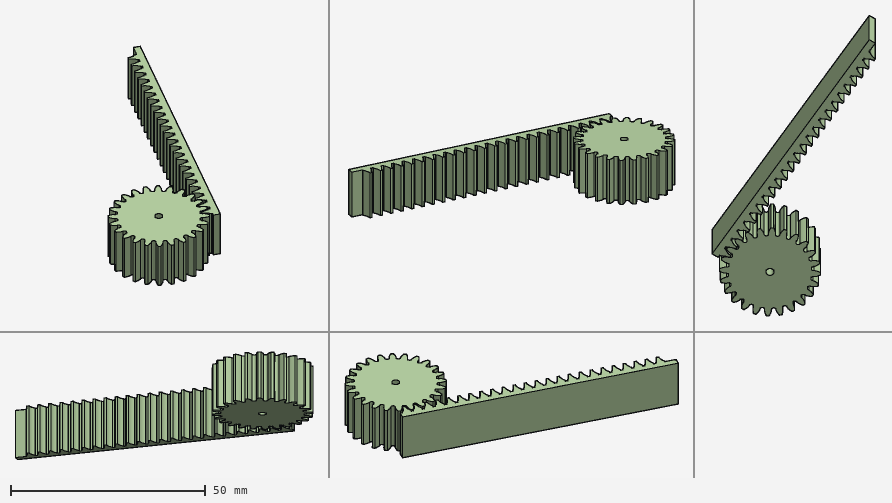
import cadquery as cq
import math

total_length = 84.5
total_depth = 28.5
top_z = 12.8

gear_teeth = 24
gear_outer_diameter = 26.0
gear_height = 12.5
bore_diameter = 2.0
pressure_angle = math.radians(20)
dedendum_factor = 1.35
flank_steps = 4

gear_module = gear_outer_diameter / (gear_teeth + 2)
outer_radius = gear_outer_diameter / 2
pitch_radius = gear_module * gear_teeth / 2
base_radius = pitch_radius * math.cos(pressure_angle)
root_radius = pitch_radius - dedendum_factor * gear_module
gear_x = total_length - outer_radius
gear_y = outer_radius

rack_length = 75.0
rack_height = top_z
back_thickness = 1.9
rack_teeth = 24
tooth_row_length = 68.9
first_tooth_x = 4.2
tooth_height = 2.5
tooth_root_half_width = 1.2
tooth_tip_half_width = 0.3
tooth_step = 0.3

rack_pitch = tooth_row_length / (rack_teeth - 1)
tooth_foot_y = total_depth - back_thickness
tooth_tip_y = tooth_foot_y - tooth_height


def polar(radius, angle):
    return radius * math.cos(angle), radius * math.sin(angle)


def half_tooth_angle(radius):
    """Angle from a gear tooth's centre line to its involute flank at the given radius."""
    local_angle = math.acos(base_radius / radius)
    involute_at_pitch = math.tan(pressure_angle) - pressure_angle
    involute_here = math.tan(local_angle) - local_angle
    return math.pi / (2 * gear_teeth) + involute_at_pitch - involute_here


def make_gear():
    """Spur gear with involute flanks, round-bottomed tooth spaces and a through bore."""
    step = 2 * math.pi / gear_teeth
    radii = [
        base_radius + (outer_radius - base_radius) * i / flank_steps
        for i in range(flank_steps + 1)
    ]
    outline = cq.Workplane("XY").moveTo(*polar(base_radius, -half_tooth_angle(base_radius)))
    for tooth in range(gear_teeth):
        centre = tooth * step
        rising = [polar(r, centre - half_tooth_angle(r)) for r in radii]
        falling = [polar(r, centre + half_tooth_angle(r)) for r in reversed(radii)]
        outline = (
            outline.spline(rising[1:], includeCurrent=True)
            .threePointArc(polar(outer_radius, centre), falling[0])
            .spline(falling[1:], includeCurrent=True)
            .threePointArc(
                polar(root_radius, centre + step / 2),
                polar(base_radius, centre + step - half_tooth_angle(base_radius)),
            )
        )
    blank = outline.close().extrude(gear_height)
    bore = cq.Workplane("XY").circle(bore_diameter / 2).extrude(gear_height)
    return blank.cut(bore).translate((gear_x, gear_y, top_z - gear_height))


def make_rack():
    """Straight bar with a row of teeth whose hollow flanks run out parallel at the tips."""
    flank_rise = tooth_height - tooth_step
    flank_run = tooth_root_half_width - tooth_tip_half_width
    flank_radius = (flank_rise**2 + flank_run**2) / (2 * flank_run)
    shoulder_y = tooth_foot_y - tooth_step

    outline = cq.Workplane("XY").moveTo(0, total_depth).lineTo(0, tooth_foot_y)
    for tooth in range(rack_teeth):
        x = first_tooth_x + tooth * rack_pitch
        outline = (
            outline.lineTo(x - tooth_root_half_width, tooth_foot_y)
            .lineTo(x - tooth_root_half_width, shoulder_y)
            .radiusArc((x - tooth_tip_half_width, tooth_tip_y), flank_radius)
            .lineTo(x + tooth_tip_half_width, tooth_tip_y)
            .radiusArc((x + tooth_root_half_width, shoulder_y), flank_radius)
            .lineTo(x + tooth_root_half_width, tooth_foot_y)
        )
    outline = outline.lineTo(rack_length, tooth_foot_y).lineTo(rack_length, total_depth)
    return outline.close().extrude(rack_height)


gear = make_gear()
rack = make_rack()

result = cq.Compound.makeCompound([gear.val(), rack.val()])